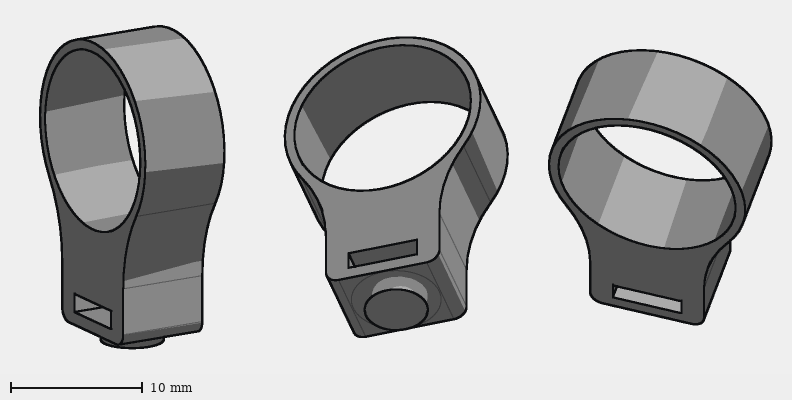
import cadquery as cq
import math

overall_height = 24.0
depth = 7.0

ring_outer_radius = 7.77
ring_bore_diameter = 14.0
ring_center_z = overall_height - ring_outer_radius

block_half_width = 4.5
block_corner_radius = 1.0
flare_radius = 10.99

foot_radius = 2.4
foot_height = 1.0
foot_flare_radius = foot_height
block_bottom_z = foot_height

slot_width = 5.42
slot_height = 1.45
slot_floor_thickness = 1.0


def make_body():
    """Keyhole-shaped profile: a disc running smoothly into a straight-sided block."""
    center_distance = ring_outer_radius + flare_radius
    flare_center_x = block_half_width + flare_radius
    flare_center_z = ring_center_z - math.sqrt(center_distance**2 - flare_center_x**2)
    ring_angle = math.atan2(flare_center_z - ring_center_z, flare_center_x)
    join_x = ring_outer_radius * math.cos(ring_angle)
    join_z = ring_center_z + ring_outer_radius * math.sin(ring_angle)

    middle_angle = ring_angle / 2
    middle_x = flare_center_x - flare_radius * math.cos(middle_angle)
    middle_z = flare_center_z - flare_radius * math.sin(middle_angle)

    body = (
        cq.Workplane("XZ")
        .moveTo(-block_half_width, block_bottom_z)
        .lineTo(block_half_width, block_bottom_z)
        .lineTo(block_half_width, flare_center_z)
        .threePointArc((middle_x, middle_z), (join_x, join_z))
        .threePointArc((0, overall_height), (-join_x, join_z))
        .threePointArc((-middle_x, middle_z), (-block_half_width, flare_center_z))
        .close()
        .extrude(depth / 2, both=True)
    )
    return body.edges("|Y").edges("<Z").fillet(block_corner_radius)


def make_bore():
    return (
        cq.Workplane("XZ")
        .center(0, ring_center_z)
        .circle(ring_bore_diameter / 2)
        .extrude(depth / 2, both=True)
    )


def make_slot():
    slot_center_z = block_bottom_z + slot_floor_thickness + slot_height / 2
    return cq.Workplane("XY").box(slot_width, depth, slot_height).translate((0, 0, slot_center_z))


def make_foot():
    """Foot with a concave quarter-round side, revolved about Z."""
    top_radius = foot_radius + foot_flare_radius
    midpoint_offset = foot_flare_radius * math.sqrt(0.5)
    return (
        cq.Workplane("XZ")
        .lineTo(foot_radius, 0)
        .threePointArc((top_radius - midpoint_offset, midpoint_offset), (top_radius, foot_height))
        .lineTo(0, foot_height)
        .close()
        .revolve(360, (0, 0, 0), (0, 1, 0))
    )


result = make_body().union(make_foot()).cut(make_bore()).cut(make_slot())